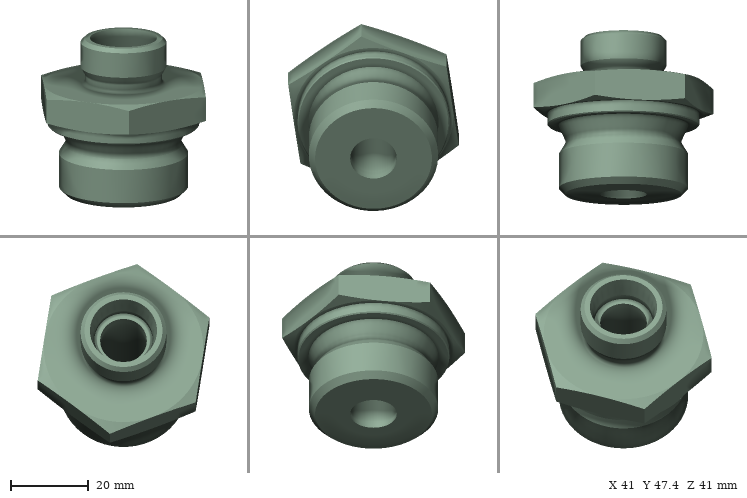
import cadquery as cq
import math

lower_chamfer_top = 1.6
lower_thread_top = 10.45
groove_arc_bottom = 12.92
groove_arc_top = 14.5
collar_bottom = 18.0
hex_bottom = 21.0
hex_top = 28.95
upper_thread_bottom = 33.45
total_height = 41.0

lower_thread_radius = 33.25 / 2
lower_tip_radius = 15.0
groove_radius = 14.9
groove_arc_end_radius = 15.1
groove_top_radius = 16.7
collar_radius = 39.0 / 2
neck_radius = 19.7 / 2
upper_thread_radius = 22.0 / 2

hex_corner_diameter = 47.35
hex_inscribed_radius = hex_corner_diameter / 2 * math.cos(math.radians(30))
hex_chamfer_angle = 15.0

collar_chamfer = 0.3
upper_tip_chamfer = 1.0
neck_fillet = 0.95
undercut_fillet = 0.95
undercut_angle = 30.0

bore_radius = 12.0 / 2
socket_radius = 15.0 / 2
socket_mouth_radius = 8.6
socket_taper_depth = 5.35
socket_depth = 7.0


def revolve_profile(profile):
    """Turn a closed radius-height profile around the Z axis."""
    return profile.close().revolve(360, (0, 0, 0), (0, 1, 0))


def make_lower_body():
    """Threaded end, relief groove and sealing collar below the hexagon."""
    groove_middle = (groove_arc_bottom + groove_arc_top) / 2
    return revolve_profile(
        cq.Workplane("XZ")
        .lineTo(lower_tip_radius, 0)
        .lineTo(lower_thread_radius, lower_chamfer_top)
        .lineTo(lower_thread_radius, lower_thread_top)
        .lineTo(groove_arc_end_radius, groove_arc_bottom)
        .threePointArc((groove_radius, groove_middle), (groove_arc_end_radius, groove_arc_top))
        .lineTo(groove_top_radius, collar_bottom)
        .lineTo(collar_radius - collar_chamfer, collar_bottom)
        .lineTo(collar_radius, collar_bottom + collar_chamfer)
        .lineTo(collar_radius, hex_bottom)
        .lineTo(0, hex_bottom)
    )


def make_hexagon():
    """Hexagon whose corners are turned down by a shallow cone at both ends."""
    hexagon = (
        cq.Workplane("XY")
        .workplane(offset=hex_bottom)
        .polygon(6, hex_corner_diameter)
        .extrude(hex_top - hex_bottom)
        .rotate((0, 0, 0), (0, 0, 1), 90)
    )
    corner_radius = hex_corner_diameter / 2
    corner_drop = (corner_radius - hex_inscribed_radius) * math.tan(math.radians(hex_chamfer_angle))
    envelope = revolve_profile(
        cq.Workplane("XZ")
        .moveTo(0, hex_bottom)
        .lineTo(hex_inscribed_radius, hex_bottom)
        .lineTo(corner_radius, hex_bottom + corner_drop)
        .lineTo(corner_radius, hex_top - corner_drop)
        .lineTo(hex_inscribed_radius, hex_top)
        .lineTo(0, hex_top)
    )
    return hexagon.intersect(envelope)


def make_upper_body():
    """Threaded end above the hexagon, on a neck with a filleted root."""
    undercut_slope = math.radians(undercut_angle)
    undercut_corner = upper_thread_bottom - (upper_thread_radius - neck_radius) / math.tan(undercut_slope)
    blend_length = undercut_fillet * math.tan(undercut_slope / 2)
    blend_middle_angle = undercut_slope / 2
    blend_start = undercut_corner - blend_length
    root_arc_offset = neck_fillet * (1 - math.sqrt(0.5))
    return revolve_profile(
        cq.Workplane("XZ")
        .moveTo(0, hex_top)
        .lineTo(neck_radius + neck_fillet, hex_top)
        .threePointArc(
            (neck_radius + root_arc_offset, hex_top + root_arc_offset),
            (neck_radius, hex_top + neck_fillet),
        )
        .lineTo(neck_radius, blend_start)
        .threePointArc(
            (
                neck_radius + undercut_fillet * (1 - math.cos(blend_middle_angle)),
                blend_start + undercut_fillet * math.sin(blend_middle_angle),
            ),
            (
                neck_radius + undercut_fillet * (1 - math.cos(undercut_slope)),
                blend_start + undercut_fillet * math.sin(undercut_slope),
            ),
        )
        .lineTo(upper_thread_radius, upper_thread_bottom)
        .lineTo(upper_thread_radius, total_height - upper_tip_chamfer)
        .lineTo(upper_thread_radius - upper_tip_chamfer, total_height)
        .lineTo(0, total_height)
    )


def make_bore():
    """Through bore opening into a stepped socket with a tapered mouth."""
    return revolve_profile(
        cq.Workplane("XZ")
        .lineTo(bore_radius, 0)
        .lineTo(bore_radius, total_height - socket_depth)
        .lineTo(socket_radius, total_height - socket_depth)
        .lineTo(socket_radius, total_height - socket_taper_depth)
        .lineTo(socket_mouth_radius, total_height)
        .lineTo(0, total_height)
    )


result = make_lower_body().union(make_hexagon()).union(make_upper_body()).cut(make_bore())